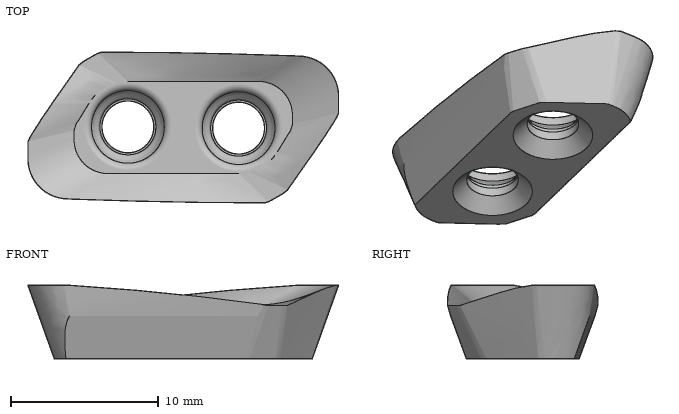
import cadquery as cq
import math

half_length = 10.55
height = 5.0
floor_z = 3.63
nose_r = 2.75
nose_y = -2.1
end_top = (10.38, 0.61)
nose_side = (half_length, 0.97)

flank_base_y = 3.71
flank_skew = 0.028
flank_draft = 0.36
bend_z = 2.9
band_lean = 0.22
band_twist = 0.008531
trim_x = 11.6
trim_top = 6.33

hole_x = 3.75
hole_y = -0.05
bore_r = 1.75
head_r = 2.47
mouth_round = 0.49
head_bottom_z = 2.75
seat_top_r = 2.25
seat_top_z = 2.43
seat_bottom_r = 1.98
seat_bottom_z = 2.13
neck_r = 1.9
neck_top_z = 1.96
ledge_z = 1.6
countersink_r = 2.7
countersink_depth = countersink_r - bore_r

floor_half_width = 3.12
floor_nose_r = 2.28
floor_nose_x = 5.13
floor_end_x = floor_nose_x + floor_nose_r
floor_hole_r = floor_half_width + hole_y

overrun = 0.3


def on_arc(center, radius, degrees, z):
    angle = math.radians(degrees)
    return (center[0] + radius * math.cos(angle), center[1] + radius * math.sin(angle), z)


def arc_points(center, radius, start, end, z):
    return [on_arc(center, radius, a, z) for a in (start, (start + end) / 2, end)]


def half_turn(point):
    return (-point[0], -point[1], point[2])


def make_edge(points):
    """Line through two points, circular arc through three on one level, else a spline."""
    vectors = [cq.Vector(*p) for p in points]
    if len(points) == 2:
        return cq.Edge.makeLine(*vectors)
    if len({round(p[2], 6) for p in points}) == 1:
        return cq.Edge.makeThreePointArc(*vectors)
    return cq.Edge.makeSpline(vectors)


def closed_wire(half):
    """Closed outline from the point lists of one half and their half-turned copies."""
    turned = [[half_turn(p) for p in points] for points in half]
    return cq.Wire.assembleEdges([make_edge(points) for points in half + turned])


def blank_outline(z, nose_center, *stops):
    """Half outline: the nose arc on -X, then straight stretches to the nose on +X."""
    nose = arc_points(nose_center, nose_r, 180, 270, z)
    ends = [nose[-1]] + [stop + (z,) for stop in stops] + [half_turn(nose[0])]
    return closed_wire([nose] + [list(pair) for pair in zip(ends, ends[1:])])


def make_blank():
    """Drafted body; its long sides stand proud of the flanks that trim them later."""
    base = blank_outline(
        0.0, (-6.01, -1.56),
        (2.53, -4.25), (4.52, -3.78),
        (6.3, -2.83), (6.6, -2.43),
        (8.74, 1.05), (8.75, 1.5),
    )
    top = blank_outline(
        height, (nose_r - half_length, nose_y),
        (4.22, -6.03), (6.3, -5.5),
        (6.84, -5.2), (7.24, -4.95),
        end_top, nose_side,
    )
    return cq.Workplane(obj=cq.Solid.makeLoft([base, top], True))


def flank_profile(x):
    """Base, bend and top points (distance from the middle, z) of a long flank at x."""
    base = flank_base_y + flank_skew * x
    bend = base + flank_draft * bend_z
    top = bend + (band_lean + band_twist * x) * (trim_top - bend_z)
    return [(base, 0.0), (bend, bend_z), (top, trim_top)]


def flank_section(x):
    near_side = [cq.Vector(x, -y, z) for y, z in flank_profile(x)]
    far_side = [cq.Vector(x, y, z) for y, z in flank_profile(-x)]
    return cq.Wire.makePolygon(near_side + far_side[::-1], close=True)


def make_flank_trim():
    sections = [flank_section(-trim_x), flank_section(trim_x)]
    return cq.Workplane(obj=cq.Solid.makeLoft(sections, True))


def rim_half():
    """Top rim: nose arc, falling long edge, low corner, rising end edge, back to the nose."""
    nose = arc_points((nose_r - half_length, nose_y), nose_r, 180, 270, height)
    corner_start = (5.85, -5.1, floor_z)
    corner_end = (7.11, -4.26, floor_z)
    end_middle = (8.9, -1.62, 4.47)
    end_stop = end_top + (height,)
    side_start = nose_side + (height,)
    return [
        nose,
        [nose[-1], (0.0, -5.06, 4.33), corner_start],
        [corner_start, corner_end],
        [corner_end, (8.02, -2.93, 4.05), end_middle],
        [end_middle, (9.83, -0.21, 4.85), end_stop],
        [end_stop, side_start],
        [side_start, half_turn(nose[0])],
    ]


def floor_half():
    """Floor outline with a matching stretch for every stretch of the rim."""
    nose_center = (-floor_nose_x, floor_nose_r - floor_half_width)
    nose = arc_points(nose_center, floor_nose_r, 180, 270, floor_z)
    around_hole = [on_arc((hole_x, hole_y), floor_hole_r, a, floor_z) for a in (-90, -75, -53, -31)]
    hole_start, corner_end, hole_middle, hole_end = around_hole
    end_stop = (7.28, -0.21, floor_z)
    side_start = (floor_end_x, 0.21, floor_z)
    return [
        nose,
        [nose[-1], hole_start],
        [hole_start, corner_end],
        [corner_end, hole_middle, hole_end],
        [hole_end, end_stop],
        [end_stop, side_start],
        [side_start, half_turn(nose[0])],
    ]


def extend(rim_point, floor_point):
    return tuple(r + overrun * (r - f) for r, f in zip(rim_point, floor_point))


def make_chip_cutter():
    """Space above the floor and the ruled rake faces that climb from it through the rim."""
    rim = rim_half()
    floor = floor_half()
    beyond = []
    for rim_points, floor_points in zip(rim, floor):
        if len(floor_points) < len(rim_points):
            start, end = floor_points
            middle = tuple((a + b) / 2 for a, b in zip(start, end))
            floor_points = [start, middle, end]
        beyond.append([extend(r, f) for r, f in zip(rim_points, floor_points)])
    lid = [[(x, y, trim_top) for x, y, z in (points[0], points[-1])] for points in beyond]
    wires = [closed_wire(half) for half in (floor, beyond, lid)]
    return cq.Workplane(obj=cq.Solid.makeLoft(wires, True))


def make_hole_cutter():
    """Screw hole: rounded mouth, head counterbore, conical seat, bore and countersink."""
    mouth_r = head_r + mouth_round
    diagonal = mouth_round * math.sqrt(0.5)
    mouth_middle = (mouth_r - diagonal, floor_z - mouth_round + diagonal)
    return (
        cq.Workplane("XZ")
        .moveTo(0, 0)
        .lineTo(countersink_r, 0)
        .lineTo(bore_r, countersink_depth)
        .lineTo(bore_r, ledge_z)
        .lineTo(neck_r, ledge_z)
        .lineTo(neck_r, neck_top_z)
        .lineTo(seat_bottom_r, seat_bottom_z)
        .lineTo(seat_top_r, seat_top_z)
        .lineTo(head_r, head_bottom_z)
        .lineTo(head_r, floor_z - mouth_round)
        .threePointArc(mouth_middle, (mouth_r, floor_z))
        .lineTo(0, floor_z)
        .close()
        .revolve(360, (0, 0, 0), (0, 1, 0))
    )


result = make_blank().intersect(make_flank_trim()).cut(make_chip_cutter())
for side in (1, -1):
    result = result.cut(make_hole_cutter().translate((side * hole_x, side * hole_y, 0)))